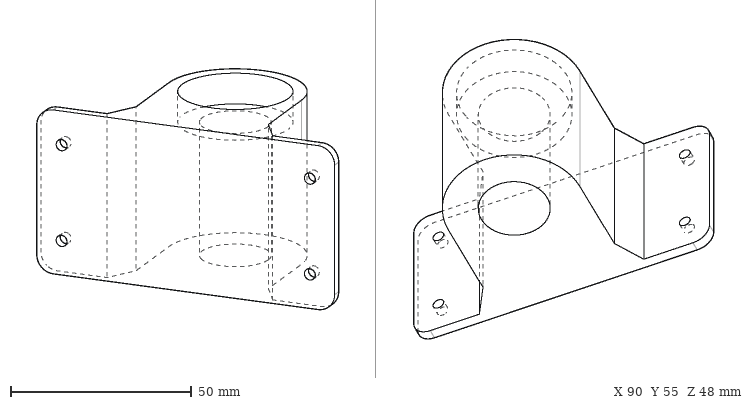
import cadquery as cq
import math

plate_width = 90.0
height = 48.0
plate_thickness = 3.0
corner_radius = 5.0
screw_hole_diameter = 3.2
screw_spacing_x = 75.0
screw_spacing_z = 28.0

housing_radius = 20.0
bore_center_y = 35.0
through_bore_diameter = 20.0
seat_diameter = 32.0
seat_depth = 9.0

flare_width = 5.0
flare_angle = 60.0
flare_end_y = plate_thickness + flare_width * math.tan(math.radians(flare_angle))
flare_base_x = housing_radius + flare_width


def make_plate():
    """Rounded plate with four screw holes."""
    return (
        cq.Workplane("XZ")
        .rect(plate_width, height)
        .extrude(-plate_thickness)
        .edges("|Y")
        .fillet(corner_radius)
        .faces("<Y")
        .workplane(centerOption="CenterOfBoundBox")
        .rect(screw_spacing_x, screw_spacing_z, forConstruction=True)
        .vertices()
        .hole(screw_hole_diameter)
    )


def make_housing():
    """Round-ended block that flares out where it meets the plate."""
    return (
        cq.Workplane("XY")
        .workplane(offset=-height / 2)
        .moveTo(-flare_base_x, plate_thickness)
        .lineTo(flare_base_x, plate_thickness)
        .lineTo(housing_radius, flare_end_y)
        .lineTo(housing_radius, bore_center_y)
        .threePointArc((0, bore_center_y + housing_radius), (-housing_radius, bore_center_y))
        .lineTo(-housing_radius, flare_end_y)
        .close()
        .extrude(height)
    )


def cut_bore(body):
    """Through bore with a bearing seat recessed into the top face."""
    return (
        body.faces(">Z")
        .workplane(origin=(0, bore_center_y, 0))
        .cboreHole(through_bore_diameter, seat_diameter, seat_depth)
    )


result = cut_bore(make_plate().union(make_housing()))